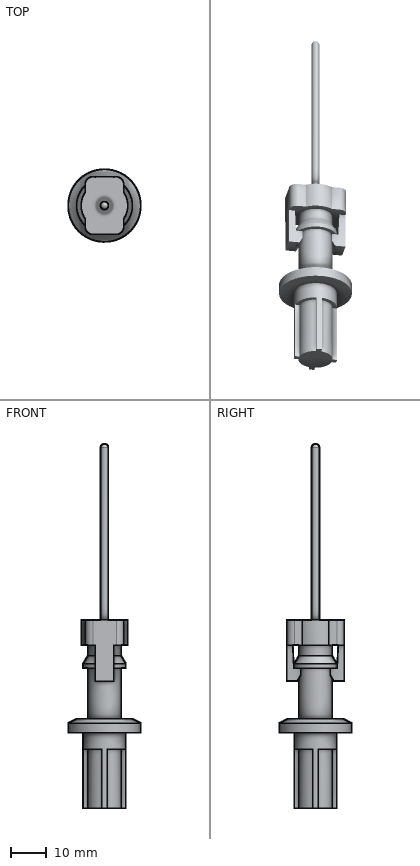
import cadquery as cq
import math

total_height = 101.6
rib_top = 16.5
flange_bottom = 21.0
flange_edge_top = 23.8
flange_top = 25.0
leg_bottom = 35.5
hook_lip_top = 37.1
collar_bottom = 39.1
collar_edge_top = 40.4
collar_top = 42.5
cap_bottom = 45.5
cap_top = 52.5

stem_diameter = 9.5
plug_core_diameter = 9.6
collar_diameter = 12.0
plug_diameter = 12.0
flange_diameter = 20.3
flange_face_diameter = 15.6
rib_width = 1.5
rib_count = 4

cap_round_diameter = 13.0
cap_width = 10.8
cap_length = 16.1
cap_corner_radius = 2.1
leg_width = 5.2
leg_inner_top = 6.3
leg_inner_bottom = 6.0
hook_diameter = 9.8
hook_mouth_diameter = 11.4

rod_diameter = 2.2
dome_height = 0.9


def cylinder(diameter, bottom, top):
    return cq.Workplane("XY").workplane(offset=bottom).circle(diameter / 2).extrude(top - bottom)


def cone(bottom_diameter, top_diameter, bottom, top):
    return cq.Workplane(
        cq.Solid.makeCone(
            bottom_diameter / 2, top_diameter / 2, top - bottom, pnt=cq.Vector(0, 0, bottom)
        )
    )


def make_plug():
    """Lower end: a round neck above a slimmer core with evenly spaced ribs."""
    core = cylinder(plug_core_diameter, 0, rib_top)
    rib_envelope = cylinder(plug_diameter, 0, rib_top)
    for index in range(rib_count):
        rib = (
            cq.Workplane("XY")
            .center(plug_diameter / 4, 0)
            .rect(plug_diameter / 2, rib_width)
            .extrude(rib_top)
            .rotate((0, 0, 0), (0, 0, 1), index * 360 / rib_count)
        )
        core = core.union(rib.intersect(rib_envelope))
    return core.union(cylinder(plug_diameter, rib_top, flange_bottom))


def make_housing():
    """Ribbed plug, bevelled flange and a stem with a snap collar."""
    flange_edge = cylinder(flange_diameter, flange_bottom, flange_edge_top)
    flange_bevel = cone(flange_diameter, flange_face_diameter, flange_edge_top, flange_top)
    stem = cylinder(stem_diameter, flange_top, cap_bottom)
    collar_edge = cylinder(collar_diameter, collar_bottom, collar_edge_top)
    collar_slope = cone(collar_diameter, stem_diameter, collar_edge_top, collar_top)
    return (
        make_plug().union(flange_edge).union(flange_bevel).union(stem).union(collar_edge).union(collar_slope)
    )


def make_leg_pair():
    """Two hooked legs; the hooks curve around the stem and flare open at the bottom."""
    outer = cap_length / 2
    leg = (
        cq.Workplane("YZ")
        .moveTo(outer, cap_bottom)
        .lineTo(leg_inner_top, cap_bottom)
        .lineTo(leg_inner_bottom, collar_bottom)
        .lineTo(0, collar_bottom)
        .lineTo(0, leg_bottom)
        .lineTo(outer, leg_bottom)
        .close()
        .extrude(leg_width / 2, both=True)
    )
    leg = leg.cut(cylinder(hook_diameter, leg_bottom, collar_bottom))
    leg = leg.cut(cone(hook_mouth_diameter, hook_diameter, leg_bottom, hook_lip_top))
    return leg, leg.mirror("XZ")


def make_cap():
    """Rounded block with bulging sides, two snap legs and a hole for the rod."""
    block_height = cap_top - cap_bottom
    cap = (
        cq.Workplane("XY")
        .workplane(offset=cap_bottom)
        .rect(cap_width, cap_length)
        .extrude(block_height)
        .edges("|Z")
        .fillet(cap_corner_radius)
        .union(cylinder(cap_round_diameter, cap_bottom, cap_top))
    )
    for leg in make_leg_pair():
        cap = cap.union(leg)
    return cap.cut(cylinder(rod_diameter, cap_bottom, cap_top))


def make_rod():
    """Thin rod standing on the stem, with a domed tip."""
    radius = rod_diameter / 2
    dome_start = total_height - dome_height
    dome_radius = (radius**2 + dome_height**2) / (2 * dome_height)
    dome_centre = total_height - dome_radius
    half_angle = math.asin(radius / dome_radius) / 2
    arc_middle = (dome_radius * math.sin(half_angle), dome_centre + dome_radius * math.cos(half_angle))
    return (
        cq.Workplane("XZ")
        .moveTo(0, cap_bottom)
        .lineTo(radius, cap_bottom)
        .lineTo(radius, dome_start)
        .threePointArc(arc_middle, (0, total_height))
        .close()
        .revolve(360, (0, 0, 0), (0, 1, 0))
    )


housing = make_housing()
cap = make_cap()
rod = make_rod()

result = cq.Compound.makeCompound([housing.solids().val(), cap.solids().val(), rod.val()])